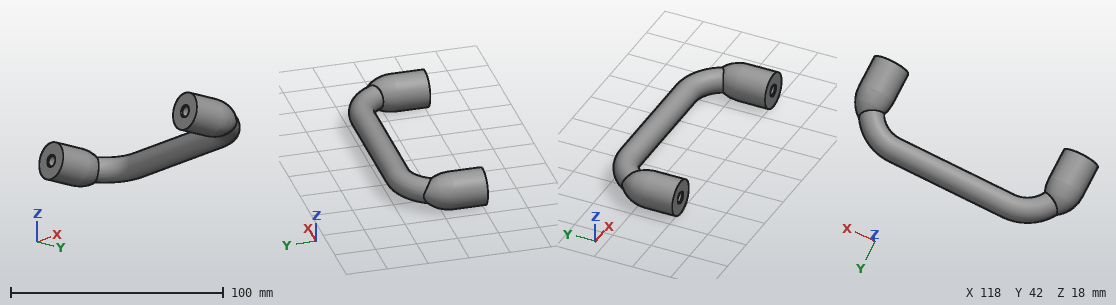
import cadquery as cq
import math

overall_length = 118.0
foot_diameter = 18.0
foot_height = 15.9
grip_diameter = 12.0
bend_radius = 20.1
nose_arc_radius = 17.0

hole_diameter = 5.0
hole_mouth_diameter = 6.0
hole_depth = 12.0
drill_point_angle = 118.0

foot_radius = foot_diameter / 2
foot_x = (overall_length - foot_diameter) / 2
grip_y = foot_height + bend_radius
bend_x = foot_x - bend_radius
bend_diagonal = bend_radius * math.sin(math.radians(45))


def make_grip():
    """Sweep the round bar from one foot, round both bends, to the other foot."""
    path = (
        cq.Workplane("XY")
        .moveTo(-foot_x, foot_height)
        .threePointArc(
            (-bend_x - bend_diagonal, foot_height + bend_diagonal),
            (-bend_x, grip_y),
        )
        .lineTo(bend_x, grip_y)
        .threePointArc(
            (bend_x + bend_diagonal, foot_height + bend_diagonal),
            (foot_x, foot_height),
        )
    )
    section = cq.Workplane("XZ", origin=(-foot_x, foot_height, 0)).circle(grip_diameter / 2)
    return section.sweep(path)


def revolve_about_y(profile, x):
    """Revolve a half profile about its Y axis, then move it to the given X."""
    return profile.close().revolve(360, (0, 0, 0), (0, 1, 0)).translate((x, 0, 0))


def make_foot(x):
    """Cylinder topped by an ogive whose arc is tangent to the cylinder wall."""
    def ogive_radius(height):
        return foot_radius - nose_arc_radius + math.sqrt(nose_arc_radius**2 - height**2)

    nose_height = math.sqrt(nose_arc_radius**2 - (nose_arc_radius - foot_radius) ** 2)
    middle_height = nose_height / 2
    profile = (
        cq.Workplane("XY")
        .lineTo(foot_radius, 0)
        .lineTo(foot_radius, foot_height)
        .threePointArc(
            (ogive_radius(middle_height), foot_height + middle_height),
            (0, foot_height + nose_height),
        )
    )
    return revolve_about_y(profile, x)


def make_screw_hole(x):
    """Blind hole with a 45 degree lead-in and a conical drill point."""
    hole_radius = hole_diameter / 2
    mouth_radius = hole_mouth_diameter / 2
    point_height = hole_radius / math.tan(math.radians(drill_point_angle / 2))
    profile = (
        cq.Workplane("XY")
        .lineTo(mouth_radius, 0)
        .lineTo(hole_radius, mouth_radius - hole_radius)
        .lineTo(hole_radius, hole_depth)
        .lineTo(0, hole_depth + point_height)
    )
    return revolve_about_y(profile, x)


result = make_grip()
for side_x in (-foot_x, foot_x):
    result = result.union(make_foot(side_x)).cut(make_screw_hole(side_x))